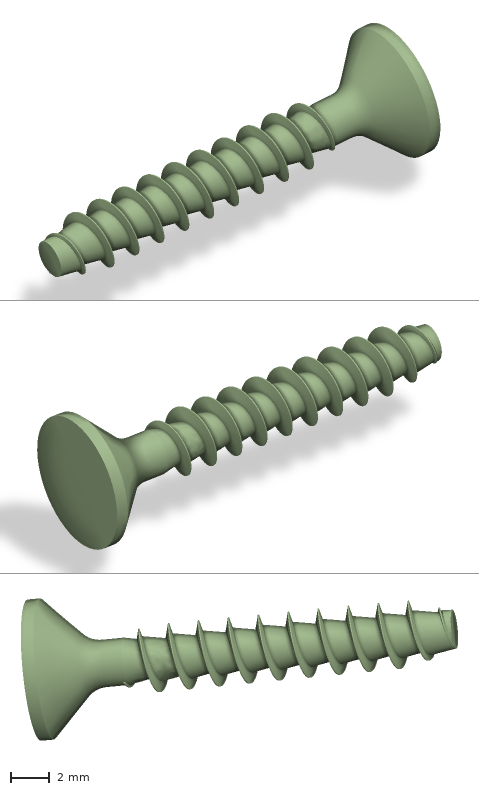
import cadquery as cq
import math


length = 22.0
head_radius = 7.3 / 2
head_rim_height = 0.66
countersink_angle = 45.0
shank_radius = 1.225
shank_end_depth = 4.8
shank_taper_length = 1.4
neck_fillet_radius = 1.41
neck_fillet_end_depth = 3.66

core_radius = 0.95
core_wide_radius = 1.21
core_narrow_radius = 0.97
core_start_offset = 0.12
core_end_gap = 0.08

pitch = 1.569
crest_radius = 1.75
crest_width = 0.06
root_radius = 0.9
root_width = 0.5
crest_drop_per_turn = 0.5
run_in_turns = 0.875
full_turns = 8.625
run_out_turns = 1.5
runout_start_depth = 19.62
run_in_drop = crest_drop_per_turn * run_in_turns
run_out_drop = crest_drop_per_turn * run_out_turns

blank_length = length + pitch

core_fade_turns = 1.0


def turned_blank():
    """Head, neck fillet, shank, taper and plain core, revolved about local Z."""
    angle = math.radians(countersink_angle)
    fillet_start_radius = shank_radius + neck_fillet_radius * (1 - math.cos(angle))
    fillet_start_depth = neck_fillet_end_depth - neck_fillet_radius * math.sin(angle)
    fillet_mid_radius = shank_radius + neck_fillet_radius * (1 - math.cos(angle / 2))
    fillet_mid_depth = neck_fillet_end_depth - neck_fillet_radius * math.sin(angle / 2)
    return (
        cq.Workplane("XZ")
        .lineTo(head_radius, 0)
        .lineTo(head_radius, head_rim_height)
        .lineTo(fillet_start_radius, fillet_start_depth)
        .threePointArc(
            (fillet_mid_radius, fillet_mid_depth),
            (shank_radius, neck_fillet_end_depth),
        )
        .lineTo(shank_radius, shank_end_depth)
        .lineTo(core_radius, shank_end_depth + shank_taper_length)
        .lineTo(core_radius, blank_length)
        .lineTo(0, blank_length)
        .close()
        .revolve(360, (0, 0, 0), (0, 1, 0))
    )


def helix_edge(start_radius, end_radius, start_depth, turns):
    """Helix about local Z; a change of radius makes it run on a cone."""
    height = turns * pitch
    center = cq.Vector(0, 0, start_depth)
    if start_radius == end_radius:
        wire = cq.Wire.makeHelix(pitch, height, start_radius, center)
        return wire.Edges()[0]
    cone_angle = math.atan2(end_radius - start_radius, height)
    slant = 1 / math.cos(cone_angle)
    wire = cq.Wire.makeHelix(
        pitch * slant,
        height * slant,
        start_radius,
        center,
        angle=math.degrees(cone_angle),
    )
    return wire.Edges()[0]


def helical_solid(start_profile, end_profile, first_turn, turns):
    """Solid swept from one (radius, depth offset) profile to another along the thread.

    Turns are counted from where the run-out starts; the depth offsets of both profiles agree.
    """
    start_depth = runout_start_depth + first_turn * pitch
    edges = [
        helix_edge(start[0], end[0], start_depth + start[1], turns)
        for start, end in zip(start_profile, end_profile)
    ]
    faces = [
        cq.Face.makeRuledSurface(edge, following)
        for edge, following in zip(edges, edges[1:] + edges[:1])
    ]
    for corners in (
        [edge.startPoint() for edge in edges],
        [edge.endPoint() for edge in edges],
    ):
        faces.append(cq.Face.makeFromWires(cq.Wire.makePolygon(corners, close=True)))
    solid = cq.Solid.makeSolid(cq.Shell.makeShell(faces))
    return solid.rotate(cq.Vector(0, 0, 0), cq.Vector(0, 0, 1), 360 * first_turn)


def thread_profile(drop):
    """Trapezoid of the thread, sunk toward the axis by the given drop."""
    return [
        (root_radius - drop, -root_width / 2),
        (crest_radius - drop, -crest_width / 2),
        (crest_radius - drop, crest_width / 2),
        (root_radius - drop, root_width / 2),
    ]


def core_profile(wide_radius):
    """Tapered stretch of core between two neighbouring crests."""
    inner_radius = core_radius / 2
    start = core_start_offset
    end = pitch - core_end_gap
    return [
        (inner_radius, start),
        (wide_radius, start),
        (core_narrow_radius, end),
        (inner_radius, end),
    ]


def thread_parts():
    """Run-in, full and run-out stretches of the thread."""
    full = thread_profile(0)
    run_in = thread_profile(run_in_drop)
    run_out = thread_profile(run_out_drop)
    return [
        helical_solid(run_in, full, -full_turns - run_in_turns, run_in_turns),
        helical_solid(full, full, -full_turns, full_turns),
        helical_solid(full, run_out, 0, run_out_turns),
    ]


def core_parts():
    """Tapered core along the whole thread, losing its step at the tip."""
    tapered = core_profile(core_wide_radius)
    level = core_profile(core_narrow_radius)
    first_turn = -full_turns - run_in_turns
    fade_turn = run_out_turns - core_fade_turns
    return [
        helical_solid(tapered, tapered, first_turn, fade_turn - first_turn),
        helical_solid(tapered, level, fade_turn, core_fade_turns),
    ]


untrimmed = turned_blank().val().fuse(*core_parts(), *thread_parts())
envelope = cq.Solid.makeCylinder(2 * head_radius, length)
screw = untrimmed.intersect(envelope).clean().Solids()[0]

placement = cq.Plane(origin=(0, 0, 0), xDir=(0, 0, 1), normal=(0, -1, 0))
result = cq.Workplane(screw.moved(cq.Location(placement)))